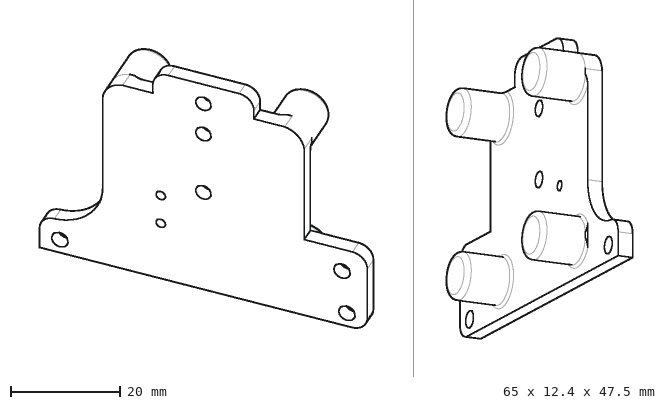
import cadquery as cq
import math

plate_width = 65.0
plate_height = 47.5
plate_thickness = 3.0
mid_x = plate_width / 2
body_width = 40.0
body_left = mid_x - body_width / 2
body_right = mid_x + body_width / 2
shoulder_z = 42.5
tab_width = 20.0
tab_left = mid_x - tab_width / 2
tab_right = mid_x + tab_width / 2
foot_z = 17.55
corner_radius = 3.0
sweep_radius = 10.0

boss_diameter = 9.0
boss_radius = boss_diameter / 2
boss_overhang = 0.03
boss_inset = boss_radius - boss_overhang
boss_spacing = body_width - 2 * boss_inset
boss_left = body_left + boss_inset
boss_right = body_right - boss_inset
boss_upper_z = shoulder_z - boss_inset
boss_lower_z = boss_upper_z - boss_spacing
corner_meet_angle = math.acos(boss_inset / boss_radius)
total_depth = 12.35
boss_tip_round = 1.0
boss_root_fillet = 0.5
flare_top = plate_thickness + boss_root_fillet

centre_hole_diameter = 3.0
centre_holes = [(mid_x, 22.5), (mid_x, 36.0), (mid_x, 43.0)]
mount_hole_diameter = 3.2
mount_inset_x = 4.0
mount_z = 3.0
mount_holes = [(mount_inset_x, mount_z), (plate_width - mount_inset_x, mount_z), (60.0, 12.5)]
pin_hole_diameter = 1.8
pin_x = 24.05
pin_holes = [(pin_x, 12.8), (pin_x, 19.25)]


def on_front_face():
    """Workplane on Y = 0 with local axes X and Z; positive extrusion runs toward -Y."""
    return cq.Workplane("XZ")


def point_on_circle(centre, radius, angle):
    return (centre[0] + radius * math.cos(angle), centre[1] + radius * math.sin(angle))


def make_plate():
    sweep_centre = (body_left - sweep_radius, foot_z)
    toe_offset = sweep_centre[0] - corner_radius
    toe_drop = math.sqrt((sweep_radius + corner_radius) ** 2 - toe_offset ** 2)
    toe_centre = (corner_radius, foot_z - toe_drop)
    toe_angle = math.atan2(toe_drop, toe_offset)
    toe_end = point_on_circle(toe_centre, corner_radius, toe_angle)
    toe_middle = point_on_circle(toe_centre, corner_radius, (math.pi + toe_angle) / 2)
    sweep_middle = point_on_circle(sweep_centre, sweep_radius, (toe_angle - math.pi) / 2)

    corner_reach = boss_radius * math.sin(corner_meet_angle)
    corner_start_z = boss_upper_z + corner_reach
    left_corner_middle = point_on_circle((boss_left, boss_upper_z), boss_radius, math.radians(135))
    right_corner_middle = point_on_circle((boss_right, boss_upper_z), boss_radius, math.radians(45))

    plate = (
        on_front_face()
        .moveTo(0, 0)
        .lineTo(0, toe_centre[1])
        .threePointArc(toe_middle, toe_end)
        .threePointArc(sweep_middle, (body_left, foot_z))
        .lineTo(body_left, corner_start_z)
        .threePointArc(left_corner_middle, (boss_left - corner_reach, shoulder_z))
        .lineTo(tab_left, shoulder_z)
        .lineTo(tab_left, plate_height)
        .lineTo(tab_right, plate_height)
        .lineTo(tab_right, shoulder_z)
        .lineTo(boss_right + corner_reach, shoulder_z)
        .threePointArc(right_corner_middle, (body_right, corner_start_z))
        .lineTo(body_right, foot_z)
        .lineTo(plate_width, foot_z)
        .lineTo(plate_width, 0)
        .close()
        .extrude(-plate_thickness)
    )
    rounded_corners = [
        (tab_left, plate_height),
        (tab_right, plate_height),
        (plate_width, foot_z),
        (plate_width, 0),
    ]
    for x, z in rounded_corners:
        nearest = cq.selectors.NearestToPointSelector((x, plate_thickness / 2, z))
        plate = plate.edges("|Y").edges(nearest).fillet(corner_radius)
    return plate


def make_post(x, z):
    """Plain round post from the top of its flare to the rounded tip."""
    return (
        cq.Workplane("XZ", origin=(x, flare_top, z))
        .circle(boss_radius)
        .extrude(flare_top - total_depth)
        .faces(">Y")
        .edges()
        .fillet(boss_tip_round)
    )


def make_flare(x, z, start_angle, sweep_angle):
    """Root of a post with its concave fillet, trimmed to stay inside the body's walls and shoulders."""
    bend = boss_root_fillet * (1 - math.sqrt(0.5))
    flare = (
        cq.Workplane("XY")
        .moveTo(0, plate_thickness)
        .lineTo(boss_radius + boss_root_fillet, plate_thickness)
        .threePointArc((boss_radius + bend, plate_thickness + bend), (boss_radius, flare_top))
        .lineTo(0, flare_top)
        .close()
        .revolve(sweep_angle, (0, 0), (0, 1))
        .rotate((0, 0, 0), (0, 1, 0), start_angle)
        .translate((x, 0, z))
    )
    core = (
        cq.Workplane("XZ", origin=(x, plate_thickness, z))
        .circle(boss_radius)
        .extrude(-boss_root_fillet)
    )
    envelope = (
        cq.Workplane("XY")
        .box(body_width, total_depth, shoulder_z, centered=False)
        .translate((body_left, 0, 0))
    )
    return core.intersect(envelope).union(flare.intersect(envelope))


def add_bosses(plate):
    """The upper flares skip the stretch where the boss is flush with a rounded corner."""
    overlap = math.degrees(corner_meet_angle)
    open_sweep = 270 + 2 * overlap
    bosses = [
        (boss_left, boss_lower_z, 0, 360),
        (boss_right, boss_lower_z, 0, 360),
        (boss_left, boss_upper_z, -90 - overlap, open_sweep),
        (boss_right, boss_upper_z, -overlap, open_sweep),
    ]
    for x, z, start_angle, sweep_angle in bosses:
        plate = plate.union(make_flare(x, z, start_angle, sweep_angle))
        plate = plate.union(make_post(x, z))
    return plate


def cut_holes(body, centres, diameter):
    drills = on_front_face().pushPoints(centres).circle(diameter / 2).extrude(-plate_thickness)
    return body.cut(drills)


result = add_bosses(make_plate())
result = cut_holes(result, centre_holes, centre_hole_diameter)
result = cut_holes(result, mount_holes, mount_hole_diameter)
result = cut_holes(result, pin_holes, pin_hole_diameter)